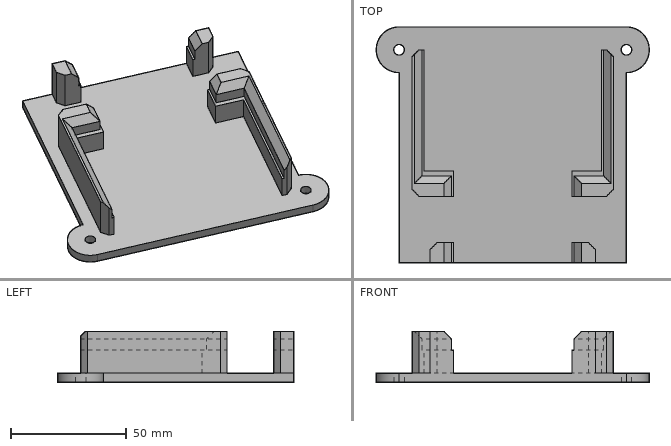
import cadquery as cq

total_width = 118.6
total_depth = 102.5
total_height = 22.2
plate_thickness = 4.0
ear_radius = 10.0
hole_diameter = 4.5
plate_half_width = total_width / 2 - ear_radius
front_y = -total_depth / 2
ear_y = total_depth / 2 - ear_radius

wall_outer_x = -43.7
wall_thickness = 5.2
foot_inner_x = -25.6
foot_front_y = front_y + 29.0
foot_depth = 10.9
wall_rear_y = ear_y
corner_chamfer = 3.0

ledge_z = 14.0
side_ledge = 1.0
foot_ledge = 2.0
lead_in = 3.3

post_width = 10.2
post_depth = 8.8

wall_inner_x = wall_outer_x + wall_thickness
foot_rear_y = foot_front_y + foot_depth
post_outer_x = foot_inner_x - post_width
post_rear_y = front_y + post_depth


def block(x_min, x_max, y_min, y_max, z_min, z_max):
    size = (x_max - x_min, y_max - y_min, z_max - z_min)
    return cq.Workplane("XY").box(*size, centered=False).translate((x_min, y_min, z_min))


def make_base():
    base = block(-plate_half_width, plate_half_width, front_y, total_depth / 2, 0, plate_thickness)
    ear_centers = [(-plate_half_width, ear_y), (plate_half_width, ear_y)]
    ears = cq.Workplane("XY").pushPoints(ear_centers).circle(ear_radius).extrude(plate_thickness)
    holes = cq.Workplane("XY").pushPoints(ear_centers).circle(hole_diameter / 2).extrude(plate_thickness)
    return base.union(ears).cut(holes)


def relief_profile(plane, face, ledge, reach):
    """Outline of the space above a ledge, from the sloped face out to `reach`."""
    upper_face = face - ledge
    return (
        plane.moveTo(reach, ledge_z)
        .lineTo(upper_face, ledge_z)
        .lineTo(upper_face, total_height - lead_in)
        .lineTo(upper_face - lead_in, total_height)
        .lineTo(reach, total_height)
        .close()
    )


def relief_along_y(face_x, reach_x, y_min, y_max):
    plane = cq.Workplane("XZ", origin=(0, y_max, 0))
    return relief_profile(plane, face_x, side_ledge, reach_x).extrude(y_max - y_min)


def relief_along_x(face_y, reach_y, x_min, x_max):
    plane = cq.Workplane("YZ", origin=(x_min, 0, 0))
    return relief_profile(plane, face_y, foot_ledge, reach_y).extrude(x_max - x_min)


def make_holder():
    outer = block(wall_outer_x, foot_inner_x, foot_front_y, wall_rear_y, plate_thickness, total_height)
    outer = outer.edges("|Z and <X").chamfer(corner_chamfer)
    recess = block(wall_inner_x, foot_inner_x, foot_rear_y, wall_rear_y, plate_thickness, total_height)

    wall_relief = relief_along_y(wall_inner_x, foot_inner_x, foot_front_y, wall_rear_y)
    foot_relief = relief_along_x(foot_rear_y, wall_rear_y, wall_outer_x, foot_inner_x)
    corner_relief = wall_relief.intersect(foot_relief)

    end_relief = relief_along_y(foot_inner_x, foot_inner_x, foot_front_y, foot_rear_y)
    return outer.cut(recess).cut(corner_relief).cut(end_relief)


def make_post():
    post = block(post_outer_x, foot_inner_x, front_y, post_rear_y, plate_thickness, total_height)
    post = post.edges("|Z and <X and >Y").chamfer(corner_chamfer)
    return post.cut(relief_along_y(foot_inner_x, foot_inner_x, front_y, post_rear_y))


left_side = make_holder().union(make_post())
result = make_base().union(left_side).union(left_side.mirror("YZ"))